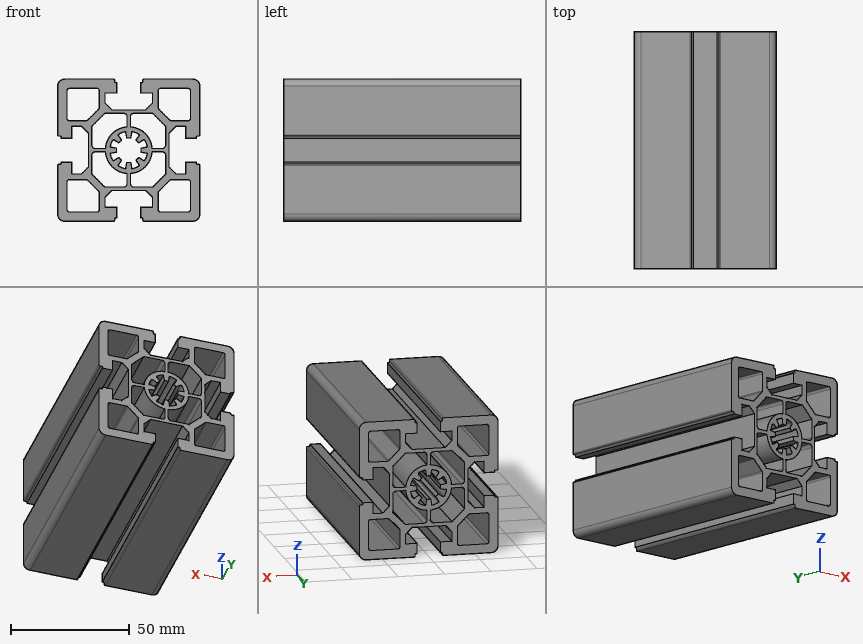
import cadquery as cq
import math

length = 100.0
side = 60.0
half_side = side / 2
corner_radius = 3.0

mouth_half_width = 5.9
mouth_depth = 1.5
mouth_edge_radius = 0.5
neck_half_width = 5.0
lip_thickness = 6.0
slot_half_width = 10.0
slot_depth = 13.0
slot_chamfer = 2.9

outer_wall = 4.0
slot_side_wall = 2.5
slot_floor_wall = 1.5
diagonal_wall = 3.1
spoke_thickness = 1.5

pocket_outer_radius = 1.0
pocket_side_radius = 0.8
chamber_corner_radius = 1.4
chamber_chamfer = 5.4

ring_outer_radius = 9.9
ring_inner_radius = 7.9
tooth_tip_radius = 5.1
tooth_tip_half_width = 0.88
tooth_root_half_width = 1.4
diagonal_tooth_fillet = 0.4

chamber_half_width = half_side - slot_depth - slot_floor_wall


def extrude_outline(points):
    """Bar of the full length, with the given XZ outline, running along Y."""
    return cq.Workplane("XZ").polyline(points).close().extrude(length / 2, both=True)


def round_edges_at(bar, points, radius):
    """Round the lengthwise edges nearest to the given XZ points."""
    for x, z in points:
        bar = bar.edges(cq.selectors.NearestToPointSelector((x, 0, z))).fillet(radius)
    return bar


def quarter_turns(bar):
    """The four copies of a bar around the Y axis."""
    return [bar.rotate((0, 0, 0), (0, 1, 0), 90 * turn) for turn in range(4)]


def make_body():
    """Solid square bar with rounded corners."""
    block = cq.Workplane("XY").box(side, length, side)
    return block.edges("|Y").fillet(corner_radius)


def make_slot():
    """T-slot opening on the +Z face."""
    step = half_side - mouth_depth
    ceiling = half_side - lip_thickness
    floor = half_side - slot_depth
    right_half = [
        (mouth_half_width, half_side),
        (mouth_half_width, step),
        (neck_half_width, step),
        (neck_half_width, ceiling),
        (slot_half_width, ceiling),
        (slot_half_width, floor + slot_chamfer),
        (slot_half_width - slot_chamfer, floor),
    ]
    left_half = [(-x, z) for x, z in reversed(right_half)]
    slot = extrude_outline(right_half + left_half)
    step_corners = [(-mouth_half_width, step), (mouth_half_width, step)]
    return round_edges_at(slot, step_corners, mouth_edge_radius)


def make_corner_pocket():
    """Five-sided hollow in the +X +Z corner."""
    near = slot_half_width + slot_side_wall
    far = half_side - outer_wall
    chamber_diagonal = 2 * chamber_half_width - chamber_chamfer
    bend = chamber_diagonal + diagonal_wall * math.sqrt(2) - near
    pocket = extrude_outline([(near, bend), (near, far), (far, far), (far, near), (bend, near)])
    side_corners = [(near, far), (far, near), (near, bend), (bend, near)]
    pocket = round_edges_at(pocket, [(far, far)], pocket_outer_radius)
    return round_edges_at(pocket, side_corners, pocket_side_radius)


def make_chamber():
    """Hollow between two spokes and the ring, in the +X +Z quarter."""
    near = spoke_thickness / 2
    far = chamber_half_width
    bend = far - chamber_chamfer
    chamber = extrude_outline([(near, near), (near, far), (bend, far), (far, bend), (far, near)])
    chamber = round_edges_at(chamber, [(near, far), (far, near)], chamber_corner_radius)
    ring = cq.Workplane("XZ").circle(ring_outer_radius).extrude(length / 2, both=True)
    return chamber.cut(ring)


def make_tooth():
    """Tapered tooth pointing from the ring wall at +Z toward the axis."""
    root = (ring_inner_radius + ring_outer_radius) / 2
    taper = (tooth_root_half_width - tooth_tip_half_width) / (ring_inner_radius - tooth_tip_radius)
    root_half_width = tooth_root_half_width + taper * (root - ring_inner_radius)
    return extrude_outline([
        (-root_half_width, root),
        (-tooth_tip_half_width, tooth_tip_radius),
        (tooth_tip_half_width, tooth_tip_radius),
        (root_half_width, root),
    ])


def make_bore():
    """Toothed screw hole on the axis."""
    bore = cq.Workplane("XZ").circle(ring_inner_radius).extrude(length / 2, both=True)
    diagonal_tooth = make_tooth().rotate((0, 0, 0), (0, 1, 0), 45)
    for tooth in quarter_turns(diagonal_tooth):
        bore = bore.cut(tooth)
    root_half_angle = math.asin(tooth_root_half_width / ring_inner_radius)
    root_corners = []
    for turn in range(4):
        for edge_side in (-1, 1):
            angle = math.radians(45 + 90 * turn) + edge_side * root_half_angle
            x = ring_inner_radius * math.cos(angle)
            z = ring_inner_radius * math.sin(angle)
            root_corners.append((x, z))
    bore = round_edges_at(bore, root_corners, diagonal_tooth_fillet)
    for tooth in quarter_turns(make_tooth()):
        bore = bore.cut(tooth)
    return bore


def round_mouth_edges(profile):
    """Ease the outer edges on both sides of every slot mouth."""
    mouth_edges = []
    for face in (-half_side, half_side):
        for mouth_wall in (-mouth_half_width, mouth_half_width):
            mouth_edges.append((mouth_wall, face))
            mouth_edges.append((face, mouth_wall))
    return round_edges_at(profile, mouth_edges, mouth_edge_radius)


result = make_body()
for hollow in (make_slot(), make_corner_pocket(), make_chamber()):
    for copy in quarter_turns(hollow):
        result = result.cut(copy)
result = round_mouth_edges(result.cut(make_bore()))